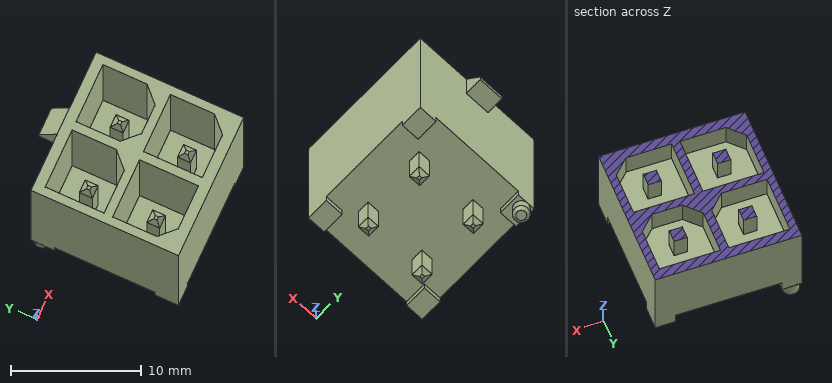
import cadquery as cq


width = 12.05
depth = 12.47
top_z = 18.53
foot_z = 2.95
foot_height = 0.83
foot_length_x = 1.67
foot_length_y = 2.0

pitch = 5.69
cavity_size = 4.97
cavity_bevel = 1.25
cavity_depth = 11.12
pin_size = 1.1
pin_taper = 0.4
pin_top_clearance = 5.0
pin_shift_y = -0.05

latch_width = 2.3
latch_reach = 1.55
latch_height = 3.22
latch_lip = 0.61

peg_diameter = 1.39
peg_length = 1.37
peg_chamfer = 0.28

CONTACTS = [
    (-1, 1, [1]),
    (1, 1, [-1, 1]),
    (-1, -1, [-1]),
    (1, -1, [1]),
]


def box(size_x, size_y, bottom_z, height):
    """Box centred on the Z axis, rising from bottom_z."""
    return cq.Workplane("XY").workplane(offset=bottom_z).rect(size_x, size_y).extrude(height)


def make_housing():
    """Block standing on four corner feet, left by two crossing channels."""
    block = box(width, depth, foot_z, top_z - foot_z)
    channel_x = box(width, depth - 2 * foot_length_y, foot_z, foot_height)
    channel_y = box(width - 2 * foot_length_x, depth, foot_z, foot_height)
    return block.cut(channel_x).cut(channel_y)


def make_cavity(bevel_sides):
    """Square pocket with bevelled front corners that key the mating plug."""
    pocket = box(cavity_size, cavity_size, top_z - cavity_depth, cavity_depth)
    for side in bevel_sides:
        corner = (side * cavity_size / 2, -cavity_size / 2, top_z - cavity_depth / 2)
        pocket = pocket.edges(cq.NearestToPointSelector(corner)).chamfer(cavity_bevel)
    return pocket


def make_pin():
    """Square pin tapered at both ends."""
    pin = box(pin_size, pin_size, 0, top_z - pin_top_clearance)
    return pin.faces("<Z or >Z").chamfer(pin_taper)


def make_latch():
    """Ramp that widens downward from the top rim to a short upright lip."""
    rear_y = depth / 2
    bottom_z = top_z - latch_height
    profile = [
        (rear_y, top_z),
        (rear_y + latch_reach, bottom_z + latch_lip),
        (rear_y + latch_reach, bottom_z),
        (rear_y, bottom_z),
    ]
    return cq.Workplane("YZ").polyline(profile).close().extrude(latch_width / 2, both=True)


def make_peg():
    """Round peg flush with the left and rear faces, chamfered at its end."""
    radius = peg_diameter / 2
    peg = cq.Workplane("XY").workplane(offset=foot_z - peg_length).circle(radius).extrude(peg_length)
    peg = peg.faces("<Z").chamfer(peg_chamfer)
    return peg.translate((radius - width / 2, depth / 2 - radius, 0))


result = make_housing().union(make_latch()).union(make_peg())
for side_x, side_y, bevel_sides in CONTACTS:
    x = side_x * pitch / 2
    y = side_y * pitch / 2
    result = result.cut(make_cavity(bevel_sides).translate((x, y, 0)))
    result = result.union(make_pin().translate((x, y + pin_shift_y, 0)))